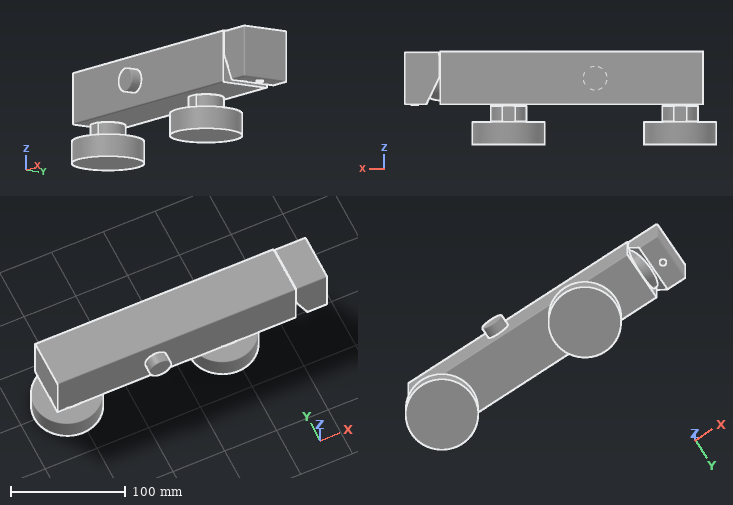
import cadquery as cq

flange_diameter = 63.5
flange_height = 20.0
flange_edge_round = 0.95
connection_spacing = 150.0
first_connection_x = flange_diameter / 2
connection_positions = [first_connection_x, first_connection_x + connection_spacing]

nut_diameter = 31.5
nut_across_flats = 29.2
nut_top = 34.0
nut_chamfer = 0.5
stem_diameter = 20.5

overall_length = 272.8
overall_width = 65.5
overall_height = 81.5
body_start = 11.7
body_end = 241.7
body_width = 47.0
body_height = 46.5
body_edge_round = 1.5
body_bottom = overall_height - body_height
body_middle = overall_height - body_height / 2

outlet_x = 106.5
outlet_diameter = 20.7
outlet_reach = overall_width - flange_diameter / 2
outlet_edge_round = 0.68

handle_gap = 0.8
handle_inset = 0.68
handle_edge_round = 1.5
handle_start = body_end + handle_gap
handle_width = body_width - 2 * handle_inset
handle_top = overall_height - handle_inset
handle_bottom = body_bottom
relief_length = 11.2
relief_height = 23.5

ball_radius = 20.0

plug_x = 263.7
plug_diameter = 6.0
plug_drop = 0.68


def make_connection(x):
    """Flange, flatted nut and stem of one wall connection."""
    flange = (
        cq.Workplane("XY")
        .center(x, 0)
        .circle(flange_diameter / 2)
        .extrude(flange_height)
        .faces(">Z")
        .edges()
        .fillet(flange_edge_round)
    )
    nut_height = nut_top - flange_height
    nut_base = cq.Workplane("XY", origin=(x, 0, flange_height))
    flats = nut_base.rect(nut_diameter, nut_across_flats).extrude(nut_height)
    nut = (
        nut_base.circle(nut_diameter / 2)
        .extrude(nut_height)
        .faces("<Z or >Z")
        .edges()
        .chamfer(nut_chamfer)
        .intersect(flats)
    )
    stem = (
        cq.Workplane("XY", origin=(x, 0, nut_top))
        .circle(stem_diameter / 2)
        .extrude(body_middle - nut_top)
    )
    return flange.union(nut).union(stem)


def make_body():
    """Square bar with its four long edges rounded."""
    return (
        cq.Workplane("YZ", origin=(body_start, 0, body_middle))
        .rect(body_width, body_height)
        .extrude(body_end - body_start)
        .edges("|X")
        .fillet(body_edge_round)
    )


def make_outlet():
    """Round hose outlet reaching from the body axis out to the -Y side."""
    return (
        cq.Workplane("XZ", origin=(outlet_x, 0, body_middle))
        .circle(outlet_diameter / 2)
        .extrude(outlet_reach)
        .faces("<Y")
        .edges()
        .fillet(outlet_edge_round)
    )


def make_handle():
    """Rounded block with a sloping relief cut at its lower inner corner."""
    block = (
        cq.Workplane("YZ", origin=(handle_start, 0, (handle_top + handle_bottom) / 2))
        .rect(handle_width, handle_top - handle_bottom)
        .extrude(overall_length - handle_start)
        .edges("|X or >X")
        .fillet(handle_edge_round)
    )
    relief = (
        cq.Workplane("XZ")
        .moveTo(handle_start, handle_bottom)
        .lineTo(handle_start + relief_length, handle_bottom)
        .lineTo(handle_start, handle_bottom + relief_height)
        .close()
        .extrude(handle_width / 2, both=True)
    )
    plug = (
        cq.Workplane("XY", origin=(plug_x, 0, handle_bottom - plug_drop))
        .circle(plug_diameter / 2)
        .extrude(plug_drop + handle_edge_round)
    )
    return block.cut(relief).union(plug)


ball = cq.Workplane("XY", origin=(body_end, 0, body_middle)).sphere(ball_radius)

result = make_body().union(make_outlet()).union(ball).union(make_handle())
for connection_x in connection_positions:
    result = result.union(make_connection(connection_x))